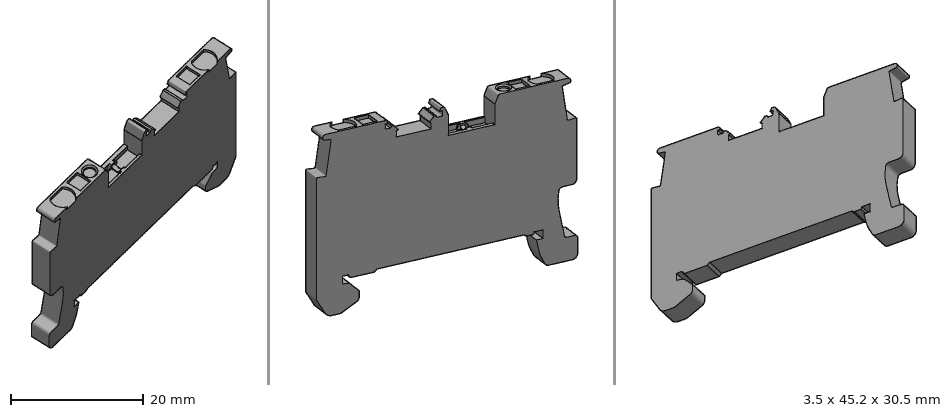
import cadquery as cq
import math

length = 45.2
height = 30.5
thickness = 3.5
half_length = length / 2
half_thickness = thickness / 2

shoulder_centre = 0.1
shoulder_half = half_length - shoulder_centre
shoulder_z = 23.65
neck_foot_half = 20.9
neck_foot_z = 23.45
neck_top_half = 20.0
lip_half = 21.45
lip_root_z = 29.43
lip_tip_z = 29.7

recess_centre = 5.8
recess_floor_z = 27.35
recess_half = 3.0
latch_half = 4.93
latch_floor_z = 29.05
latch_ridge_z = 29.4
latch_lip_z = 29.9

slot_front_y = -8.23
slot_back_y = -0.23
slot_floor_z = 25.6
slot_mouth_z = 29.0
slot_front_mouth_y = -8.9
slot_back_mouth_y = 0.5

rail_z = 6.0
rail_relief_z = 6.15
rail_back_y = 18.1
rail_front_y = -16.55
rail_pad_z = 5.6
rail_stop_z = 5.75

foot_notch_z = 12.55
foot_top_z = 4.0
front_hook_z = 4.7

back_hook_y = 15.2

top_floor_depth = 0.55
opening_half_width = 1.3
wire_diameter = 4.0
wire_centres_y = (17.05, -17.18)
window_length = 2.5
window_centres_y = (13.15, -13.3)
test_hole_y = -10.7
test_hole_x = 0.05
test_hole_diameter = 2.0
test_hole_rim_diameter = 2.5
test_hole_rim_chamfer = (test_hole_rim_diameter - test_hole_diameter) / 2

channel_x_min = -1.05
channel_x_max = 1.3
channel_depth = 0.9
channel_floor_z = slot_floor_z - channel_depth
cheek_diameter = 2.0
cheek_y = -4.2
saddle_x_min = -0.65
saddle_x_max = 1.05
saddle_length = 0.8
saddle_radius = 1.0
saddle_web = 0.15


def rounded_wire(corners):
    """Closed (Y, Z) outline from (y, z, radius) corners; radius 0 stays sharp.

    The first corner must have a radius: the outline starts at the end of its arc.
    """
    count = len(corners)
    path = []
    for i, (y, z, radius) in enumerate(corners):
        if radius == 0:
            path.append(((y, z),))
            continue
        before = corners[i - 1]
        after = corners[(i + 1) % count]
        angle_in = math.atan2(before[1] - z, before[0] - y)
        angle_out = math.atan2(after[1] - z, after[0] - y)
        half_turn = math.remainder(angle_out - angle_in, math.tau) / 2
        half_angle = abs(half_turn)
        bisector = angle_in + half_turn
        tangent = radius / math.tan(half_angle)
        middle = radius / math.sin(half_angle) - radius
        path.append(tuple(
            (y + reach * math.cos(angle), z + reach * math.sin(angle))
            for reach, angle in ((tangent, angle_in), (middle, bisector), (tangent, angle_out))
        ))
    outline = cq.Workplane("YZ", origin=(-half_thickness, 0, 0)).moveTo(*path[0][-1])
    for step in path[1:] + path[:1]:
        outline = outline.lineTo(*step[0])
        if len(step) > 1:
            outline = outline.threePointArc(step[1], step[2])
    return outline.close()


def mirrored(corners, centre, side):
    """Place (offset, z, radius) corners on one side (+1 or -1) of a centre."""
    placed = [(centre + side * offset, z, radius) for offset, z, radius in corners]
    return placed if side > 0 else placed[::-1]


shoulder = [
    (shoulder_half, shoulder_z, 0.23),
    (neck_foot_half, neck_foot_z, 0.2),
    (neck_top_half, lip_root_z, 0.2),
    (lip_half, lip_tip_z, 0.3),
    (lip_half, height, 0.55),
]
recess_edge = [
    (4.7, height, 0.2),
    (4.45, latch_lip_z, 0),
    (latch_half, latch_lip_z, 0),
    (latch_half, latch_floor_z, 0.2),
    (4.02, latch_floor_z, 0),
    (3.85, latch_ridge_z, 0),
    (3.5, latch_ridge_z, 0),
    (2.65, 28.5, 0),
    (recess_half, 28.35, 0),
    (recess_half, recess_floor_z, 0),
]
slot = [
    (slot_back_mouth_y, height, 0.35),
    (slot_back_y, slot_mouth_z, 0),
    (slot_back_y, slot_floor_z, 0),
    (slot_front_y, slot_floor_z, 0),
    (slot_front_y, slot_mouth_z, 0),
    (slot_front_mouth_y, height, 0.45),
]
front_foot = [
    (shoulder_centre - shoulder_half, foot_notch_z, 0.9),
    (-19.4, foot_notch_z, 0.65),
    (-19.05, 10.3, 9.05),
    (-20.35, foot_top_z, 0.45),
    (-half_length, foot_top_z, 0.55),
    (-half_length, 0, 1.0),
    (-17.1, 0, 0.72),
    (-16.0, 2.12, 5.42),
    (-15.4, front_hook_z, 0),
    (rail_front_y, front_hook_z, 0),
    (rail_front_y, rail_relief_z, 0),
]
rail_seat = [
    (-15.05, rail_relief_z, 0),
    (-14.9, rail_stop_z, 0),
    (-13.7, rail_stop_z, 0),
    (-13.25, rail_z, 0),
    (12.15, rail_z, 0),
    (12.6, rail_pad_z, 0),
    (16.8, rail_pad_z, 0.23),
    (17.1, rail_relief_z, 0),
]
back_foot = [
    (rail_back_y, rail_relief_z, 0),
    (rail_back_y, 4.9, 0.15),
    (16.8, 4.65, 0.15),
    (back_hook_y, 3.07, 0.25),
    (back_hook_y, 1.6, 0.9),
    (18.45, 0, 0.7),
    (20.75, 0, 1.35),
    (half_length, 3.15, 0.45),
]


def make_body():
    corners = (
        mirrored(shoulder, shoulder_centre, 1)
        + mirrored(recess_edge, recess_centre, 1)
        + mirrored(recess_edge, recess_centre, -1)
        + slot
        + mirrored(shoulder, shoulder_centre, -1)
        + front_foot
        + rail_seat
        + back_foot
    )
    return rounded_wire(corners).extrude(thickness)


def block(x_min, x_max, y_centre, y_size, z_min, z_max):
    return cq.Workplane("XY").box(x_max - x_min, y_size, z_max - z_min).translate(
        ((x_min + x_max) / 2, y_centre, (z_min + z_max) / 2)
    )


def disc(diameter, x, y, depth):
    """Upright cylinder sunk into the top face."""
    return cq.Workplane("XY", origin=(x, y, height - depth)).circle(diameter / 2).extrude(depth)


def make_top_openings():
    floor_z = height - top_floor_depth
    tools = disc(test_hole_diameter, test_hole_x, test_hole_y, top_floor_depth)
    rim = cq.Solid.makeCone(
        test_hole_diameter / 2,
        test_hole_rim_diameter / 2,
        test_hole_rim_chamfer,
        pnt=cq.Vector(test_hole_x, test_hole_y, height - test_hole_rim_chamfer),
    )
    tools = tools.union(cq.Workplane(rim))
    for y in window_centres_y:
        window = block(-opening_half_width, opening_half_width, y, window_length, floor_z, height)
        tools = tools.union(window)
    for y in wire_centres_y:
        keep = block(-opening_half_width, wire_diameter, y, wire_diameter, floor_z, height)
        tools = tools.union(disc(wire_diameter, 0, y, top_floor_depth).intersect(keep))
    return tools


def make_channel():
    slot_length = slot_back_y - slot_front_y
    slot_centre = (slot_back_y + slot_front_y) / 2
    return block(channel_x_min, channel_x_max, slot_centre, slot_length, channel_floor_z, slot_floor_z)


def make_cheek(x_min, x_max):
    """Half disc standing on the channel floor, cut flat at the slot floor."""
    wheel = (
        cq.Workplane("YZ", origin=(x_min, cheek_y, channel_floor_z))
        .circle(cheek_diameter / 2)
        .extrude(x_max - x_min)
    )
    return wheel.intersect(block(x_min, x_max, cheek_y, cheek_diameter, channel_floor_z, slot_floor_z))


def make_saddle():
    """Bar between the cheeks with a concave top running along Y."""
    axis_x = (saddle_x_min + saddle_x_max) / 2
    axis_z = channel_floor_z + saddle_web + saddle_radius
    bar = block(saddle_x_min, saddle_x_max, cheek_y, saddle_length, channel_floor_z, slot_floor_z)
    hollow = (
        cq.Workplane("XZ", origin=(axis_x, cheek_y + saddle_length / 2, axis_z))
        .circle(saddle_radius)
        .extrude(saddle_length)
    )
    return bar.cut(hollow)


result = (
    make_body()
    .cut(make_top_openings())
    .cut(make_channel())
    .union(make_cheek(channel_x_min, saddle_x_min))
    .union(make_cheek(saddle_x_max, channel_x_max))
    .union(make_saddle())
)